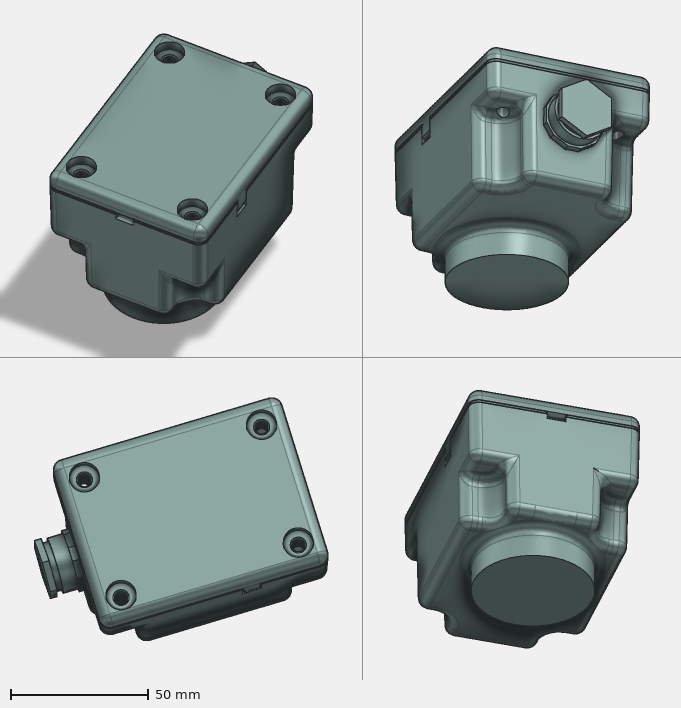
import cadquery as cq
import math

WIDTH = 65.0
DEPTH = 87.0
TOTAL_DEPTH = 100.0
TOTAL_HEIGHT = 65.0
EDGE_RADIUS = 4.0
DRAFT_ANGLE = 1.0

LID_HEIGHT = 6.0
LIP_HEIGHT = 1.0
LIP_INSET = 0.3

HOUSING_TOP = -(LID_HEIGHT + LIP_HEIGHT)
HOUSING_BOTTOM = -52.0

NOTCH_WALL_X = 18.0
NOTCH_CORNER_RADIUS = 8.0
NOTCH_EDGE_RADIUS = 3.9
FRONT_NOTCH_DEPTH = 13.5
REAR_NOTCH_DEPTH = 13.9
FRONT_NOTCH_TOP = -31.3
REAR_NOTCH_TOP = -21.2
NOTCH_OVERSIZE = 20.0

COLLAR_DIAMETER = 45.0
COLLAR_Y = 30.0
COLLAR_BOTTOM = -TOTAL_HEIGHT

SCREW_X = 23.0
FRONT_SCREW_Y = 9.5
REAR_SCREW_Y = 77.0
COUNTERBORE_DIAMETER = 11.0
COUNTERBORE_DEPTH = 4.0
LID_HOLE_DIAMETER = 4.8
COUNTERSINK_DIAMETER = 5.9
HOUSING_HOLE_DIAMETER = 4.7
FRONT_HOLE_DEPTH = 10.0

WINDOW_WIDTH = 7.2
WINDOW_INSET = 3.0
CUT_CLEARANCE = 1.0
LIP_GAP_WIDTH = 7.8
LATCH_THICKNESS = 1.5
LATCH_SLOPE = 1.4
SIDE_LATCH_Y = COLLAR_Y
SIDE_LATCH_WIDTH = 6.2
SIDE_LATCH_EDGE = -11.3
SIDE_WINDOW_BOTTOM = -14.1
FRONT_LATCH_EDGE = -LID_HEIGHT
FRONT_WINDOW_BOTTOM = -9.1

GLAND_Z = -25.7
SOCKET_START = 86.0
FLANGE_END = 89.3
FLANGE_FLATS = 22.7
FLANGE_CORNER_FLATS = 22.3
SOCKET_DIAMETER = 21.0
SOCKET_END = 95.1
SHANK_DIAMETER = 18.5
HEAD_START = 97.4
HEAD_FLATS = 20.0


def block(x_range, y_range, z_range):
    """Box given by its limits on each axis."""
    size = [high - low for low, high in (x_range, y_range, z_range)]
    corner = (x_range[0], y_range[0], z_range[0])
    return cq.Workplane("XY").box(*size, centered=False).translate(corner)


def z_rod(x, y, z_low, z_high, diameter):
    plane = cq.Workplane("XY", origin=(x, y, z_low))
    return plane.circle(diameter / 2).extrude(z_high - z_low)


def y_plane(y):
    """Plane square to the gland axis, with its local x pointing up."""
    return cq.Workplane("ZX", origin=(0, y, GLAND_Z))


def y_rod(y_low, y_high, diameter):
    return y_plane(y_low).circle(diameter / 2).extrude(y_high - y_low)


def drafted_block():
    height = HOUSING_TOP - HOUSING_BOTTOM
    body = (
        cq.Workplane("XY", origin=(0, DEPTH / 2, HOUSING_TOP))
        .rect(WIDTH, DEPTH)
        .extrude(-height, taper=DRAFT_ANGLE)
    )
    return body.edges("not (|X or |Y)").fillet(EDGE_RADIUS)


def notch(side, at_front):
    """Drafted corner cutter with one rounded inner corner."""
    top = FRONT_NOTCH_TOP if at_front else REAR_NOTCH_TOP
    if at_front:
        wall_y = FRONT_NOTCH_DEPTH
        outer_y = -NOTCH_OVERSIZE
    else:
        wall_y = DEPTH - REAR_NOTCH_DEPTH
        outer_y = DEPTH + NOTCH_OVERSIZE
    wall_x = side * NOTCH_WALL_X
    outer_x = side * (WIDTH / 2 + NOTCH_OVERSIZE)
    spread = (top - HOUSING_BOTTOM) * math.tan(math.radians(DRAFT_ANGLE))
    cutter = (
        cq.Workplane("XY", origin=((wall_x + outer_x) / 2, (wall_y + outer_y) / 2, HOUSING_BOTTOM))
        .rect(abs(outer_x - wall_x) + 2 * spread, abs(outer_y - wall_y) + 2 * spread)
        .extrude(top - HOUSING_BOTTOM, taper=DRAFT_ANGLE)
    )
    inner_corner = cq.selectors.NearestToPointSelector((wall_x, wall_y, (top + HOUSING_BOTTOM) / 2))
    return cutter.edges("not (|X or |Y)").edges(inner_corner).fillet(NOTCH_CORNER_RADIUS)


def edges_at_height(body, z):
    tolerance = 0.01
    low, high = z - tolerance, z + tolerance
    return [
        edge
        for edge in body.edges().vals()
        if low < edge.BoundingBox().zmin and edge.BoundingBox().zmax < high
    ]


def notch_upright_edges(body):
    """Upright edges where the notch walls meet the outer faces."""
    found = []
    for side in (-1, 1):
        for wall_y, face_y, top in (
            (FRONT_NOTCH_DEPTH, 0, FRONT_NOTCH_TOP),
            (DEPTH - REAR_NOTCH_DEPTH, DEPTH, REAR_NOTCH_TOP),
        ):
            middle_z = (top + HOUSING_BOTTOM) / 2
            for point in (
                (side * NOTCH_WALL_X, face_y, middle_z),
                (side * WIDTH / 2, wall_y, middle_z),
            ):
                found += body.edges(cq.selectors.NearestToPointSelector(point)).vals()
    return found


def is_rim_edge(edge):
    """True for an edge whose middle lies close to an outer face."""
    middle = edge.Center()
    margin = EDGE_RADIUS / 2
    near_side = abs(middle.x) > WIDTH / 2 - margin
    near_end = min(middle.y, DEPTH - middle.y) < margin
    return near_side or near_end


def is_notch_corner_arc(edge):
    return edge.geomType() != "LINE" and edge.Length() > NOTCH_CORNER_RADIUS


def ceiling_edges(body, wanted):
    edges = edges_at_height(body, FRONT_NOTCH_TOP) + edges_at_height(body, REAR_NOTCH_TOP)
    return [edge for edge in edges if wanted(edge)]


def notched_block():
    body = drafted_block()
    for side in (-1, 1):
        for at_front in (True, False):
            body = body.cut(notch(side, at_front))
    rim = notch_upright_edges(body) + ceiling_edges(body, is_rim_edge)
    body = body.newObject(rim).fillet(NOTCH_EDGE_RADIUS)
    return body.newObject(ceiling_edges(body, is_notch_corner_arc)).fillet(EDGE_RADIUS)


def add_collar(body):
    """Add the collar, blend it into the underside and round the bottom outline."""
    collar = z_rod(0, COLLAR_Y, COLLAR_BOTTOM, HOUSING_BOTTOM, COLLAR_DIAMETER)
    body = body.union(collar)
    joint = cq.selectors.RadiusNthSelector(-1)
    circles = [edge for edge in edges_at_height(body, HOUSING_BOTTOM) if edge.geomType() == "CIRCLE"]
    body = body.newObject(circles).edges(joint).fillet(EDGE_RADIUS)
    underside = body.faces("|Z").faces(cq.selectors.NearestToPointSelector((0, DEPTH / 2, HOUSING_BOTTOM)))
    return body.newObject(underside.val().outerWire().Edges()).fillet(EDGE_RADIUS)


def side_window(side):
    """Opening for a side latch, open at the top of the housing."""
    x_range = sorted((side * (WIDTH / 2 - WINDOW_INSET), side * (WIDTH / 2 + CUT_CLEARANCE)))
    y_range = (SIDE_LATCH_Y - WINDOW_WIDTH / 2, SIDE_LATCH_Y + WINDOW_WIDTH / 2)
    return block(x_range, y_range, (SIDE_WINDOW_BOTTOM, HOUSING_TOP))


def front_window():
    x_range = (-WINDOW_WIDTH / 2, WINDOW_WIDTH / 2)
    return block(x_range, (-CUT_CLEARANCE, WINDOW_INSET), (FRONT_WINDOW_BOTTOM, HOUSING_TOP))


def make_housing(gland_bodies):
    body = add_collar(notched_block())
    body = body.cut(front_window())
    for side in (-1, 1):
        x = side * SCREW_X
        body = body.cut(side_window(side))
        blind_bottom = HOUSING_TOP - FRONT_HOLE_DEPTH
        body = body.cut(z_rod(x, FRONT_SCREW_Y, blind_bottom, HOUSING_TOP, HOUSING_HOLE_DIAMETER))
        body = body.cut(z_rod(x, REAR_SCREW_Y, HOUSING_BOTTOM, HOUSING_TOP, HOUSING_HOLE_DIAMETER))
    for gland_body in gland_bodies:
        body = body.cut(gland_body)
    return body


def lid_shell():
    """Cover with rounded top and corners, standing on an inset lip."""
    cover = block((-WIDTH / 2, WIDTH / 2), (0, DEPTH), (-LID_HEIGHT, 0))
    cover = cover.edges("|Z or >Z").fillet(EDGE_RADIUS)
    half_lip = WIDTH / 2 - LIP_INSET
    lip = block((-half_lip, half_lip), (LIP_INSET, DEPTH - LIP_INSET), (HOUSING_TOP, -LID_HEIGHT))
    lip = lip.edges("|Z").fillet(EDGE_RADIUS - LIP_INSET)

    half_gap = LIP_GAP_WIDTH / 2
    lip_z = (HOUSING_TOP, -LID_HEIGHT)
    lip = lip.cut(block((-half_gap, half_gap), (0, WINDOW_INSET), lip_z))
    for side in (-1, 1):
        x_range = sorted((side * WIDTH / 2, side * (WIDTH / 2 - WINDOW_INSET)))
        lip = lip.cut(block(x_range, (SIDE_LATCH_Y - half_gap, SIDE_LATCH_Y + half_gap), lip_z))
    return cover.union(lip)


def latch_outline(plane, outer, inward, edge_z):
    """Latch section with a sloping underside that drops towards the inside."""
    inner = outer + inward * LATCH_THICKNESS
    root_z = -EDGE_RADIUS
    return plane.polyline(
        [
            (outer, root_z),
            (inner, root_z),
            (inner, edge_z - LATCH_SLOPE),
            (outer, edge_z),
        ]
    ).close()


def side_latch(side):
    plane = cq.Workplane("XZ", origin=(0, SIDE_LATCH_Y, 0))
    outline = latch_outline(plane, side * WIDTH / 2, -side, SIDE_LATCH_EDGE)
    return outline.extrude(SIDE_LATCH_WIDTH / 2, both=True)


def front_latch():
    outline = latch_outline(cq.Workplane("YZ"), 0, 1, FRONT_LATCH_EDGE)
    return outline.extrude(WINDOW_WIDTH / 2, both=True)


def lid_screw_hole(x, y):
    """Counterbored hole with a small countersink at the counterbore floor."""
    floor = -COUNTERBORE_DEPTH
    sink = (COUNTERSINK_DIAMETER - LID_HOLE_DIAMETER) / 2
    counterbore = z_rod(x, y, floor, 0, COUNTERBORE_DIAMETER)
    countersink = cq.Workplane(
        cq.Solid.makeCone(
            LID_HOLE_DIAMETER / 2, COUNTERSINK_DIAMETER / 2, sink, pnt=cq.Vector(x, y, floor - sink)
        )
    )
    bore = z_rod(x, y, HOUSING_TOP, floor, LID_HOLE_DIAMETER)
    return counterbore.union(countersink).union(bore)


def make_lid():
    body = lid_shell().union(front_latch())
    for side in (-1, 1):
        body = body.union(side_latch(side))
        for y in (FRONT_SCREW_Y, REAR_SCREW_Y):
            body = body.cut(lid_screw_hole(side * SCREW_X, y))
    return body


def hexagon(y, length, across_flats, turned=False):
    """Hexagon bar with corners at top and bottom, or flats there if turned."""
    half_sector = 30.0
    plane = y_plane(y)
    if turned:
        plane = plane.transformed(rotate=(0, 0, half_sector))
    across_corners = across_flats / math.cos(math.radians(half_sector))
    return plane.polygon(6, across_corners).extrude(length)


def make_gland_screw():
    """Hexagon head on a round shank, seated in the socket."""
    shank = y_rod(SOCKET_START, HEAD_START, SHANK_DIAMETER)
    head = hexagon(HEAD_START, TOTAL_DEPTH - HEAD_START, HEAD_FLATS)
    return shank.union(head)


def make_gland_socket(gland_screw):
    """Hexagon flange with trimmed corners and a round sleeve around the screw shank."""
    length = FLANGE_END - SOCKET_START
    flange = hexagon(SOCKET_START, length, FLANGE_FLATS, turned=True)
    flange = flange.intersect(hexagon(SOCKET_START, length, FLANGE_CORNER_FLATS))
    sleeve = y_rod(FLANGE_END, SOCKET_END, SOCKET_DIAMETER)
    return flange.union(sleeve).cut(gland_screw)


lid = make_lid()
gland_screw = make_gland_screw()
gland_socket = make_gland_socket(gland_screw)
housing = make_housing([gland_screw, gland_socket])

result = cq.Compound.makeCompound(
    [housing.val(), lid.val(), gland_socket.val(), gland_screw.val()]
)